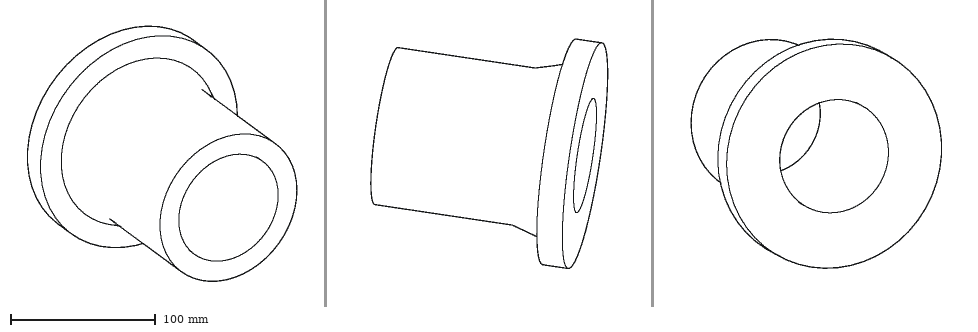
import cadquery as cq

total_length = 140.0
flange_diameter = 158.0
flange_thickness = 18.0
neck_diameter = 124.8
neck_length = 25.0
pipe_diameter = 110.0
bore_diameter = 79.8

neck_end = flange_thickness + neck_length
flange_radius = flange_diameter / 2
neck_radius = neck_diameter / 2
pipe_radius = pipe_diameter / 2
bore_radius = bore_diameter / 2

half_section = (
    cq.Workplane("XY")
    .moveTo(0, bore_radius)
    .lineTo(0, flange_radius)
    .lineTo(flange_thickness, flange_radius)
    .lineTo(flange_thickness, neck_radius)
    .lineTo(neck_end, pipe_radius)
    .lineTo(total_length, pipe_radius)
    .lineTo(total_length, bore_radius)
    .close()
)

result = half_section.revolve(360, (0, 0, 0), (1, 0, 0))